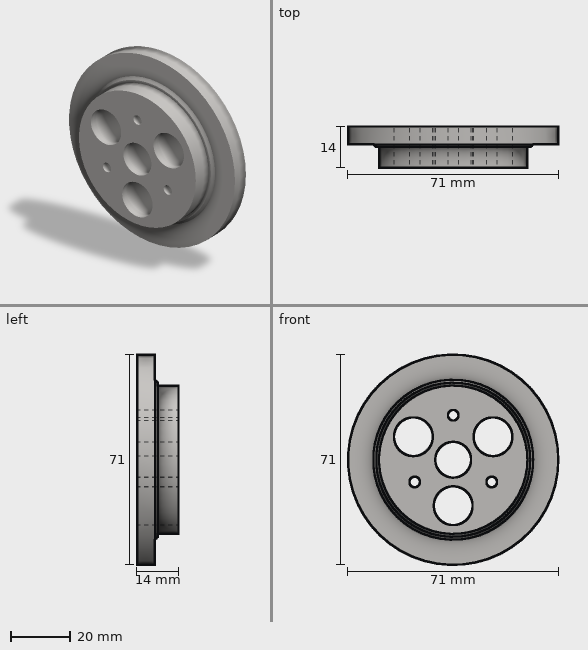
import cadquery as cq

flange_diameter = 71.0
flange_thickness = 6.0
collar_base_diameter = 54.0
collar_height = 1.0
collar_chamfer = 1.0
boss_diameter = 50.0
total_thickness = 14.0

center_hole_diameter = 12.0
large_hole_diameter = 13.0
large_hole_circle_radius = 15.5
large_hole_start_angle = 30.0
small_hole_diameter = 3.5
small_hole_circle_radius = 15.0
small_hole_start_angle = 90.0
holes_per_circle = 3

axis_plane = cq.Workplane("XZ")


def make_body():
    """Flange with a conical collar at the foot of a cylindrical boss."""
    flange = axis_plane.circle(flange_diameter / 2).extrude(flange_thickness)
    boss = axis_plane.circle(boss_diameter / 2).extrude(total_thickness)
    collar = (
        axis_plane.workplane(offset=flange_thickness)
        .circle(collar_base_diameter / 2)
        .workplane(offset=collar_height)
        .circle(collar_base_diameter / 2 - collar_chamfer)
        .loft(ruled=True)
    )
    return flange.union(collar).union(boss)


def hole_ring(diameter, circle_radius, start_angle):
    """Equally spaced cutters running through the full thickness."""
    return (
        axis_plane.polarArray(circle_radius, start_angle, 360, holes_per_circle)
        .circle(diameter / 2)
        .extrude(total_thickness)
    )


center_hole = axis_plane.circle(center_hole_diameter / 2).extrude(total_thickness)
large_holes = hole_ring(large_hole_diameter, large_hole_circle_radius, large_hole_start_angle)
small_holes = hole_ring(small_hole_diameter, small_hole_circle_radius, small_hole_start_angle)

result = make_body().cut(center_hole).cut(large_holes).cut(small_holes)